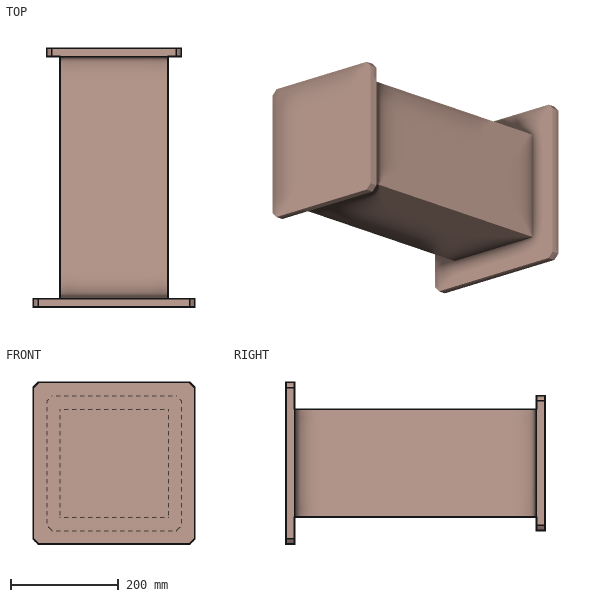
import cadquery as cq

total_length = 480.0
plate_thickness = 16.0
front_plate_side = 300.0
rear_plate_side = 250.0
column_side = 200.0
corner_chamfer = 10.0


def square_bar(side, y_start, y_end):
    """Square bar centred on the Y axis between two Y positions."""
    length = y_end - y_start
    return cq.Workplane("XY").box(side, length, side).translate((0, y_start + length / 2, 0))


def end_plate(side, y_start):
    """Square plate with its four corners cut off."""
    plate = square_bar(side, y_start, y_start + plate_thickness)
    return plate.edges("|Y").chamfer(corner_chamfer)


rear_plate_start = total_length - plate_thickness
front_plate = end_plate(front_plate_side, 0)
rear_plate = end_plate(rear_plate_side, rear_plate_start)

column = square_bar(column_side, plate_thickness, rear_plate_start)

result = front_plate.union(column).union(rear_plate)